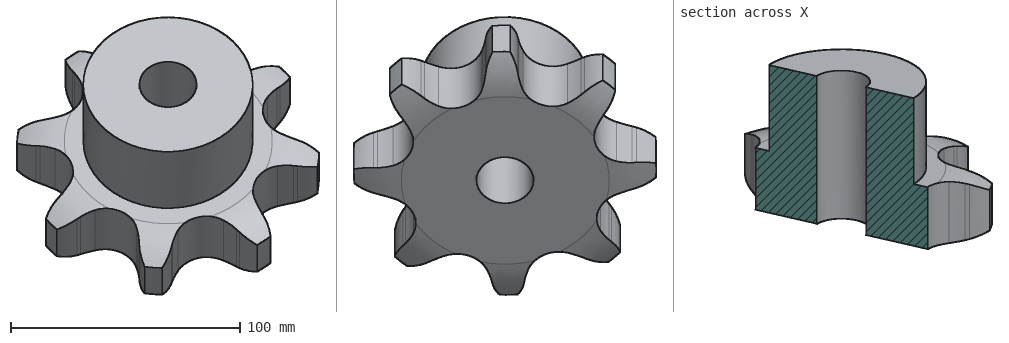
import cadquery as cq
import math

TEETH = 8
CHAIN_PITCH = 44.4
ROLLER_DIAMETER = 28.0
OVERALL_WIDTH = 124.7
DISC_THICKNESS = 29.5
TOTAL_HEIGHT = 70.0
HUB_DIAMETER = 74.0
BORE_DIAMETER = 25.0
FLAT_FACE_RADIUS = 45.4
SIDE_DROP = 5.1

SEAT_CLEARANCE = 0.1
WORKING_OFFSET_RATIO = 0.8
TOPPING_OFFSET_RATIO = 1.4

SEAT_END_DEGREES = 35 + 60 / TEETH
WORKING_SWEEP_DEGREES = 18 - 56 / TEETH
TOPPING_PRESSURE_DEGREES = 17 - 64 / TEETH

half_tooth_angle = math.pi / TEETH
pitch_radius = CHAIN_PITCH / 2 / math.sin(half_tooth_angle)
seat_center = (0, pitch_radius)
seat_radius = ROLLER_DIAMETER / 2 + SEAT_CLEARANCE
working_offset = WORKING_OFFSET_RATIO * ROLLER_DIAMETER
topping_offset = TOPPING_OFFSET_RATIO * ROLLER_DIAMETER
working_radius = seat_radius + working_offset
seat_end_angle = math.radians(SEAT_END_DEGREES)
working_sweep = math.radians(WORKING_SWEEP_DEGREES)
working_end_angle = seat_end_angle - working_sweep
topping_pressure_angle = math.radians(TOPPING_PRESSURE_DEGREES)
topping_radius = (
    working_offset * math.cos(working_sweep)
    + topping_offset * math.cos(topping_pressure_angle)
    - working_radius
)


def polar(center, radius, angle):
    """Point at a radius and angle from a center."""
    return (center[0] + radius * math.cos(angle), center[1] + radius * math.sin(angle))


def mirrored(point):
    """Point reflected across the center line of the gap."""
    return (-point[0], point[1])


topping_center = polar(seat_center, topping_offset, -half_tooth_angle)
tip_rise = OVERALL_WIDTH / 2 - topping_center[1]
tip_angle = math.pi - math.asin(tip_rise / topping_radius)
tip = polar(topping_center, topping_radius, tip_angle)
tip_radius = math.hypot(*tip)


def make_tooth_gap():
    """Cutter for the gap centered on +Y, symmetric about the Y axis."""
    seat_bottom = (0, pitch_radius - seat_radius)
    seat_end = polar(seat_center, seat_radius, -seat_end_angle)

    working_center = polar(seat_center, working_offset, math.pi - seat_end_angle)
    working_mid = polar(working_center, working_radius, -seat_end_angle + working_sweep / 2)
    working_end = polar(working_center, working_radius, -working_end_angle)

    topping_start_angle = math.pi - working_end_angle
    topping_start = polar(topping_center, topping_radius, topping_start_angle)
    topping_mid = polar(topping_center, topping_radius, (topping_start_angle + tip_angle) / 2)

    outside = (tip[0], tip[1] + ROLLER_DIAMETER)
    return (
        cq.Workplane("XY")
        .moveTo(*mirrored(seat_end))
        .threePointArc(seat_bottom, seat_end)
        .threePointArc(working_mid, working_end)
        .lineTo(*topping_start)
        .threePointArc(topping_mid, tip)
        .lineTo(*outside)
        .lineTo(*mirrored(outside))
        .lineTo(*mirrored(tip))
        .threePointArc(mirrored(topping_mid), mirrored(topping_start))
        .lineTo(*mirrored(working_end))
        .threePointArc(mirrored(working_mid), mirrored(seat_end))
        .close()
        .extrude(DISC_THICKNESS)
    )


def make_disc():
    """Disc whose two faces round off toward the rim, tangent to the flat faces."""
    run = tip_radius - FLAT_FACE_RADIUS
    side_radius = (run**2 + SIDE_DROP**2) / (2 * SIDE_DROP)
    half_sweep = math.asin(run / side_radius) / 2
    mid_radius = FLAT_FACE_RADIUS + side_radius * math.sin(half_sweep)
    mid_drop = side_radius * (1 - math.cos(half_sweep))
    return (
        cq.Workplane("XZ")
        .lineTo(FLAT_FACE_RADIUS, 0)
        .threePointArc((mid_radius, mid_drop), (tip_radius, SIDE_DROP))
        .lineTo(tip_radius, DISC_THICKNESS - SIDE_DROP)
        .threePointArc(
            (mid_radius, DISC_THICKNESS - mid_drop), (FLAT_FACE_RADIUS, DISC_THICKNESS)
        )
        .lineTo(0, DISC_THICKNESS)
        .close()
        .revolve(360, (0, 0, 0), (0, 1, 0))
    )


sprocket = make_disc()
tooth_gap = make_tooth_gap()
for index in range(TEETH):
    sprocket = sprocket.cut(tooth_gap.rotate((0, 0, 0), (0, 0, 1), index * 360 / TEETH))

hub = cq.Workplane("XY").circle(HUB_DIAMETER / 2).extrude(TOTAL_HEIGHT)
bore = cq.Workplane("XY").circle(BORE_DIAMETER / 2).extrude(TOTAL_HEIGHT)
result = sprocket.union(hub).cut(bore)